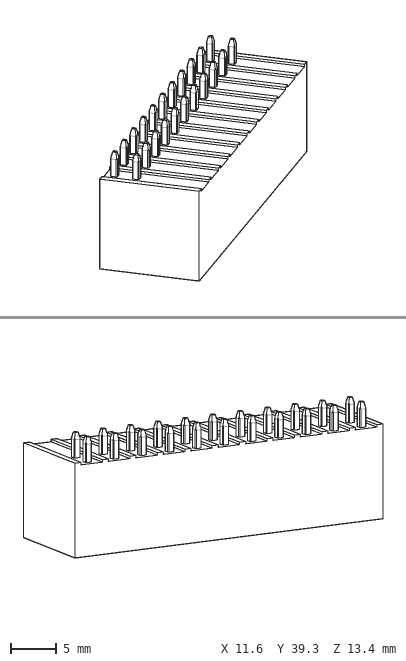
import cadquery as cq

length = 39.3
width = 11.6
overall_height = 13.4
pin_projection = 2.6
housing_height = overall_height - pin_projection

position_count = 11
position_pitch = 3.5
row_pitch = 2.55
first_row_inset = 1.05
first_row_x = first_row_inset - width / 2

channel_width = 2.7
channel_depth = 0.28

pin_size = 0.8
pin_edge_bevel = 0.1
tip_height = 0.8
tip_size = 0.4

position_ys = [(i - (position_count - 1) / 2) * position_pitch for i in range(position_count)]
pin_xs = [first_row_x, first_row_x + row_pitch]
channel_floor = housing_height - channel_depth


def make_housing():
    """Plain block with a full-width channel at every contact position."""
    block = cq.Workplane("XY").box(width, length, housing_height, centered=(True, True, False))
    channels = (
        cq.Workplane("XY", origin=(0, 0, channel_floor))
        .pushPoints([(0, y) for y in position_ys])
        .rect(width, channel_width)
        .extrude(channel_depth)
    )
    return block.cut(channels)


def make_pin():
    """Bevelled post with its tapered tip, standing on the channel floor."""
    post_height = overall_height - tip_height - channel_floor
    tapered_post = (
        cq.Workplane("XY")
        .rect(pin_size, pin_size)
        .extrude(post_height)
        .faces(">Z")
        .workplane()
        .rect(pin_size, pin_size)
        .workplane(offset=tip_height)
        .rect(tip_size, tip_size)
        .loft(combine=True)
    )
    bevelled_bar = (
        cq.Workplane("XY")
        .rect(pin_size, pin_size)
        .extrude(post_height + tip_height)
        .edges("|Z")
        .chamfer(pin_edge_bevel)
    )
    return tapered_post.intersect(bevelled_bar)


pin = make_pin()
result = make_housing()
for x in pin_xs:
    for y in position_ys:
        result = result.union(pin.translate((x, y, channel_floor)))